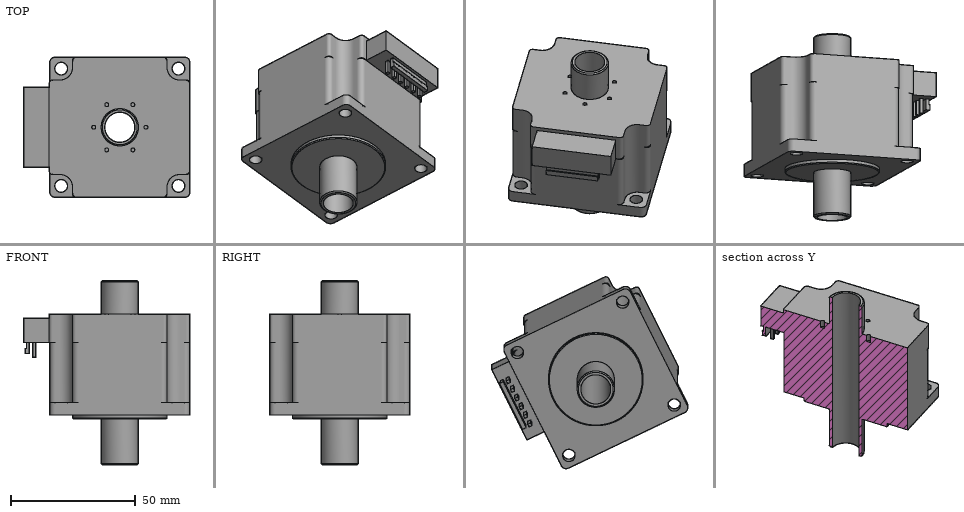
import cadquery as cq

body_width = 56.4
body_half = body_width / 2
body_height = 40.6

flange_height = 5.0
flange_corner_radius = 2.2

cap_height = 11.5
cap_bottom = body_height - cap_height
cap_left_overhang = 0.2

recess_wall = 19.0
recess_inner_radius = 5.0
body_edge_radius = flange_corner_radius
cap_edge_radius = 1.4

mount_hole_diameter = 5.0
mount_hole_pitch = 47.14

pilot_diameter = 38.1
pilot_height = 1.6
pilot_chamfer = 0.4

shaft_diameter = 15.0
shaft_bore = 12.0
shaft_above_body = 13.4
shaft_length = 74.0
shaft_chamfer = 0.5
shaft_top = body_height + shaft_above_body
shaft_bottom = shaft_top - shaft_length

ring_hole_count = 6
ring_hole_diameter = 1.57
ring_hole_circle_radius = 10.5
ring_hole_depth = 3.0

overall_length = 66.9
connector_left = body_half - overall_length
connector_width = 32.2
connector_height = 9.85
connector_bottom = cap_bottom

pin_count = 6
pin_pitch = 3.96
pin_width = 1.25
pin_thickness = 1.3
pin_length = 5.9
pin_setback = 3.7
pin_left = connector_left + pin_setback

latch_width = (pin_count - 1) * pin_pitch + pin_width
latch_setback = 1.15
latch_left = connector_left + latch_setback
latch_thickness = 1.25
latch_length = 4.45
lip_height = 2.15
lip_projection = 0.5


def box_between(x_range, y_range, z_range):
    """Axis-aligned box given by its limits along each axis."""
    (x0, x1), (y0, y1), (z0, z1) = x_range, y_range, z_range
    return cq.Workplane("XY").box(x1 - x0, y1 - y0, z1 - z0, centered=False).translate((x0, y0, z0))


def recessed_block(left, edge_radius, z_bottom, z_top):
    """Square block with its four corners cut away and all upright edges rounded."""
    lengthwise = box_between((left, body_half), (-recess_wall, recess_wall), (z_bottom, z_top))
    crosswise = box_between((-recess_wall, recess_wall), (-body_half, body_half), (z_bottom, z_top))
    block = lengthwise.union(crosswise)

    outermost = "(<X or >X or <Y or >Y)"
    block = block.edges(f"|Z and (not {outermost})").fillet(recess_inner_radius)
    return block.edges(f"|Z and {outermost}").fillet(edge_radius)


def make_flange():
    flange = cq.Workplane("XY").rect(body_width, body_width).extrude(flange_height)
    flange = flange.edges("|Z").fillet(flange_corner_radius)
    holes = (
        cq.Workplane("XY")
        .rect(mount_hole_pitch, mount_hole_pitch, forConstruction=True)
        .vertices()
        .circle(mount_hole_diameter / 2)
        .extrude(flange_height)
    )
    return flange.cut(holes)


def make_pilot():
    pilot = cq.Workplane("XY").circle(pilot_diameter / 2).extrude(-pilot_height)
    return pilot.faces("<Z").edges().chamfer(pilot_chamfer)


def make_shaft():
    shaft = cq.Workplane("XY").workplane(offset=shaft_bottom).circle(shaft_diameter / 2).extrude(shaft_length)
    return shaft.faces("<Z or >Z").edges().chamfer(shaft_chamfer)


def make_bore():
    return cq.Workplane("XY").workplane(offset=shaft_bottom).circle(shaft_bore / 2).extrude(shaft_length)


def make_ring_holes():
    return (
        cq.Workplane("XY")
        .workplane(offset=body_height)
        .polarArray(ring_hole_circle_radius, 0, 360, ring_hole_count)
        .circle(ring_hole_diameter / 2)
        .extrude(-ring_hole_depth)
    )


def make_connector():
    half_width = connector_width / 2
    return box_between(
        (connector_left, -body_half),
        (-half_width, half_width),
        (connector_bottom, connector_bottom + connector_height),
    )


def make_pins():
    pins = cq.Workplane("XY")
    for index in range(pin_count):
        centre = (index - (pin_count - 1) / 2) * pin_pitch
        pin = box_between(
            (pin_left, pin_left + pin_thickness),
            (centre - pin_width / 2, centre + pin_width / 2),
            (connector_bottom - pin_length, connector_bottom),
        )
        pins = pins.add(pin)
    return pins.combine()


def make_latch():
    latch_right = latch_left + latch_thickness
    latch_bottom = connector_bottom - latch_length
    y_range = (-latch_width / 2, latch_width / 2)
    tongue = box_between((latch_left, latch_right), y_range, (latch_bottom, connector_bottom))
    lip = box_between(
        (latch_left - lip_projection, latch_right),
        y_range,
        (latch_bottom, latch_bottom + lip_height),
    )
    return tongue.union(lip)


body = make_flange()
body = body.union(recessed_block(-body_half, body_edge_radius, flange_height, cap_bottom))
body = body.union(recessed_block(-body_half - cap_left_overhang, cap_edge_radius, cap_bottom, body_height))
body = body.union(make_pilot()).union(make_shaft())
body = body.union(make_connector()).union(make_pins()).union(make_latch())
result = body.cut(make_bore()).cut(make_ring_holes())